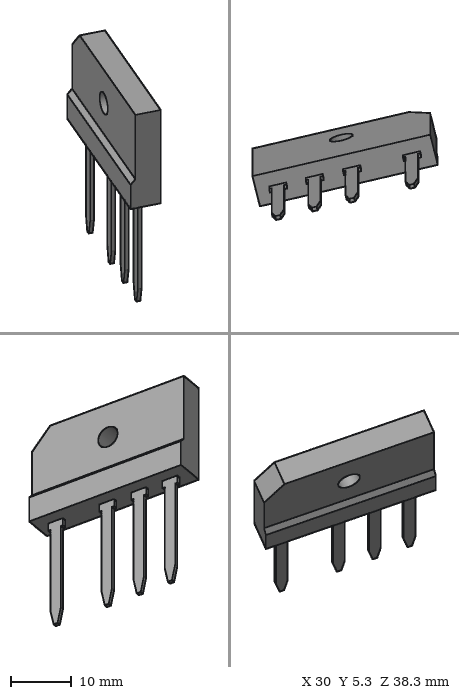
import cadquery as cq

total_height = 38.28
housing_width = 30.0
housing_height = 18.03
base_depth = 5.3
upper_depth = 4.45
base_height = 4.7
step_slope_height = 0.9
corner_cut_width = 3.6
corner_cut_height = 3.85
hole_diameter = 3.83
hole_below_top = 6.47

lead_centres_x = [-11.3, -1.2, 5.13, 11.3]
lead_thickness = 0.7
lead_back_inset = 2.35
lead_length = total_height - housing_height
lead_width = 2.05
shoulder_width = 2.9
shoulder_height = 1.4
tip_width = 0.8
tip_length = 2.87


def make_housing():
    """Stepped plastic block with one cut corner and a mounting hole."""
    half_width = housing_width / 2
    block = (
        cq.Workplane("YZ", origin=(-half_width, 0, 0))
        .polyline([
            (0, 0),
            (-base_depth, 0),
            (-base_depth, base_height),
            (-upper_depth, base_height + step_slope_height),
            (-upper_depth, housing_height),
            (0, housing_height),
        ])
        .close()
        .extrude(housing_width)
    )
    corner = (
        cq.Workplane("XZ")
        .polyline([
            (-half_width, housing_height),
            (-half_width + corner_cut_width, housing_height),
            (-half_width, housing_height - corner_cut_height),
        ])
        .close()
        .extrude(base_depth)
    )
    mounting_hole = (
        cq.Workplane("XZ")
        .center(0, housing_height - hole_below_top)
        .circle(hole_diameter / 2)
        .extrude(base_depth)
    )
    return block.cut(corner).cut(mounting_hole)


def make_lead(centre_x):
    """Flat lead hanging from the housing underside."""
    return (
        cq.Workplane("XZ", origin=(centre_x, -lead_back_inset, 0))
        .polyline([
            (-shoulder_width / 2, 0),
            (-shoulder_width / 2, -shoulder_height),
            (-lead_width / 2, -shoulder_height),
            (-lead_width / 2, tip_length - lead_length),
            (-tip_width / 2, -lead_length),
            (tip_width / 2, -lead_length),
            (lead_width / 2, tip_length - lead_length),
            (lead_width / 2, -shoulder_height),
            (shoulder_width / 2, -shoulder_height),
            (shoulder_width / 2, 0),
        ])
        .close()
        .extrude(lead_thickness)
    )


housing = make_housing()
leads = [make_lead(centre_x) for centre_x in lead_centres_x]

result = cq.Compound.makeCompound([housing.val(), *[lead.val() for lead in leads]])